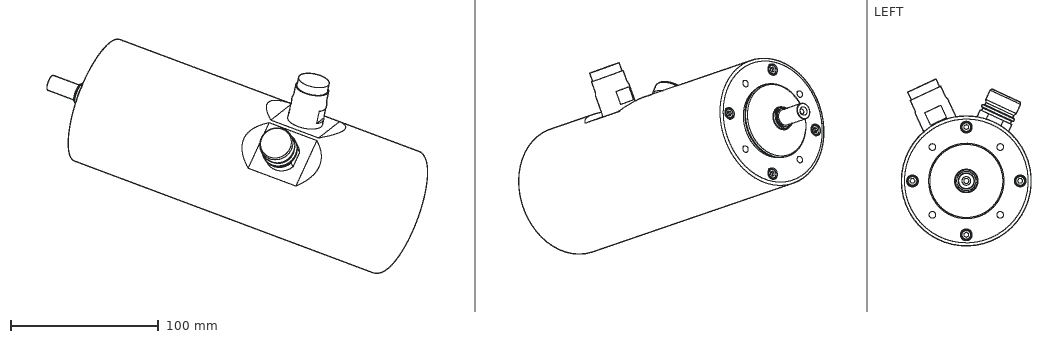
import cadquery as cq
import math

TOTAL_LENGTH = 266.0
HOUSING_RADIUS = 88.0 / 2
FRONT_FACE_X = 34.8
FRONT_CHAMFER_LENGTH = 0.8
FRONT_CHAMFER_DEPTH = 2.0
REAR_RIM_X = 265.2
REAR_FILLET = 3.5

FLANGE_RADIUS = 49.7 / 2
FLANGE_RIM_RADIUS = 51.0 / 2
FLANGE_RIM_BACK_X = 32.2
FLANGE_RIM_FRONT_X = 31.5
FLANGE_SHOULDER_RADIUS = 49.5 / 2
FLANGE_SHOULDER_X = 30.3
FLANGE_FACE_RADIUS = 47.3 / 2
FLANGE_FACE_X = 29.8

FLARE_DIAMETER = 21.5
FLARE_END_X = 27.7
FLARE_ROUND = 3.2

SHAFT_DIAMETER = 11.0
SHAFT_LENGTH = 21.0
SHAFT_STEPS = [(13.0, 22.0), (15.0, 24.0), (16.0, 25.0)]
SHAFT_EDGE_CHAMFER = 0.3

CENTRE_HOLE_DIAMETER = 3.5
CENTRE_HOLE_DEPTH = 8.0
CENTRE_SINK_DIAMETER = 5.9
CENTRE_SINK_ANGLE = 60.0

DRILL_POINT_ANGLE = 118.0
MOUNT_HOLE_DIAMETER = 4.5
MOUNT_HOLE_DEPTH = 8.0
MOUNT_CIRCLE_RADIUS = 32.5
MOUNT_FIRST_ANGLE = 45.0
SCREW_CIRCLE_RADIUS = 36.5
SCREW_FIRST_ANGLE = 0.0
FACE_HOLE_COUNT = 4
SCREW_RECESS_DIAMETER = 8.0
SCREW_RECESS_DEPTH = 2.7
SCREW_HEAD_DIAMETER = 7.0
SCREW_HEAD_SETBACK = 0.3
SCREW_HEAD_CHAMFER = 0.5
SCREW_SOCKET_CORNERS = 3.5
SCREW_SOCKET_DEPTH = 2.0

SEAT_X = 184.5
SEAT_TILT = 25.0
SEAT_HEIGHT = 40.5
SEAT_LENGTH = 36.2
SEAT_END_SLOPE = 19.0
SEAT_CUT_HEIGHT = 8.0
SEAT_CUT_WIDTH = 53.2

CONNECTOR_FLAT_WIDTH = 21.0

TALL_PROFILE = [
    (24.2, SEAT_HEIGHT), (24.2, 55.5), (23.0, 57.7), (23.0, 65.5), (21.3, 65.5), (21.3, 71.3),
]
SHORT_PROFILE = [
    (23.7, SEAT_HEIGHT), (23.7, 47.5), (21.5, 47.5), (21.5, 49.5), (24.2, 50.0), (24.2, 51.5),
    (21.0, 52.1), (21.0, 53.7), (23.0, 55.5), (23.0, 62.5), (21.3, 63.8),
]
TALL_FLAT_SPAN = (44.5, 53.7)
SHORT_FLAT_SPAN = (SEAT_HEIGHT, 47.5)


def turned_body():
    """The shaft, flange and housing as one turned solid."""
    shaft_radius = SHAFT_DIAMETER / 2
    outline = (
        cq.Workplane("XY")
        .moveTo(0, 0)
        .lineTo(0, shaft_radius - SHAFT_EDGE_CHAMFER)
        .lineTo(SHAFT_EDGE_CHAMFER, shaft_radius)
    )
    step_start_x = SHAFT_LENGTH
    outline = outline.lineTo(step_start_x, shaft_radius)
    for diameter, step_end_x in SHAFT_STEPS:
        outline = outline.lineTo(step_start_x, diameter / 2)
        outline = outline.lineTo(step_end_x, diameter / 2)
        step_start_x = step_end_x
    outline = (
        outline
        .radiusArc((FLARE_END_X, FLARE_DIAMETER / 2), -FLARE_ROUND)
        .lineTo(FLANGE_FACE_X, FLANGE_FACE_RADIUS)
        .lineTo(FLANGE_SHOULDER_X, FLANGE_SHOULDER_RADIUS)
        .lineTo(FLANGE_RIM_FRONT_X, FLANGE_RIM_RADIUS)
        .lineTo(FLANGE_RIM_BACK_X, FLANGE_RIM_RADIUS)
        .lineTo(FLANGE_RIM_BACK_X, FLANGE_RADIUS)
        .lineTo(FRONT_FACE_X, FLANGE_RADIUS)
        .lineTo(FRONT_FACE_X, HOUSING_RADIUS - FRONT_CHAMFER_DEPTH)
        .lineTo(FRONT_FACE_X + FRONT_CHAMFER_LENGTH, HOUSING_RADIUS)
        .lineTo(REAR_RIM_X - REAR_FILLET, HOUSING_RADIUS)
        .radiusArc((REAR_RIM_X, HOUSING_RADIUS - REAR_FILLET), REAR_FILLET)
        .lineTo(TOTAL_LENGTH, 0)
        .close()
    )
    return outline.revolve(360, (0, 0, 0), (1, 0, 0))


def drill(start_x, diameter, depth):
    """A hole cutter along +X with a conical point."""
    radius = diameter / 2
    point = radius / math.tan(math.radians(DRILL_POINT_ANGLE / 2))
    cutter = (
        cq.Workplane("XY")
        .polyline([(0, 0), (0, radius), (depth, radius), (depth + point, 0)])
        .close()
        .revolve(360, (0, 0, 0), (1, 0, 0))
    )
    return cutter.translate((start_x, 0, 0))


def centre_hole():
    """The countersunk centre hole in the shaft end."""
    radius = CENTRE_SINK_DIAMETER / 2
    sink_depth = radius / math.tan(math.radians(CENTRE_SINK_ANGLE / 2))
    sink = (
        cq.Workplane("XY")
        .polyline([(0, 0), (0, radius), (sink_depth, 0)])
        .close()
        .revolve(360, (0, 0, 0), (1, 0, 0))
    )
    return sink.union(drill(0, CENTRE_HOLE_DIAMETER, CENTRE_HOLE_DEPTH))


def on_face_circle(cutter, radius, first_angle):
    """Copies of a cutter spaced evenly on a circle around the X axis."""
    moved = cutter.translate((0, radius, 0))
    angles = [first_angle + 360 / FACE_HOLE_COUNT * i for i in range(FACE_HOLE_COUNT)]
    return [moved.rotate((0, 0, 0), (1, 0, 0), angle) for angle in angles]


def x_cylinder(diameter, start_x, length):
    """A solid cylinder along +X."""
    return cq.Workplane("YZ", origin=(start_x, 0, 0)).circle(diameter / 2).extrude(length)


def screw_recess():
    """Cutter that leaves a hexagon socket screw head standing in a round recess."""
    recess = x_cylinder(SCREW_RECESS_DIAMETER, FRONT_FACE_X, SCREW_RECESS_DEPTH)
    head_x = FRONT_FACE_X + SCREW_HEAD_SETBACK
    head = x_cylinder(SCREW_HEAD_DIAMETER, head_x, SCREW_RECESS_DEPTH)
    head = head.faces("<X").chamfer(SCREW_HEAD_CHAMFER)
    socket = (
        cq.Workplane("YZ", origin=(head_x, 0, 0))
        .polygon(6, SCREW_SOCKET_CORNERS)
        .extrude(SCREW_SOCKET_DEPTH)
    )
    return recess.cut(head).union(socket)


def seat_cutter(tilt):
    """Cutter for a flat seat with sloping ends, leaned about the X axis."""
    half_bottom = SEAT_LENGTH / 2
    half_top = half_bottom + SEAT_CUT_HEIGHT / math.tan(math.radians(SEAT_END_SLOPE))
    top = SEAT_HEIGHT + SEAT_CUT_HEIGHT
    cutter = (
        cq.Workplane("XZ")
        .polyline([
            (SEAT_X - half_bottom, SEAT_HEIGHT),
            (SEAT_X + half_bottom, SEAT_HEIGHT),
            (SEAT_X + half_top, top),
            (SEAT_X - half_top, top),
        ])
        .close()
        .extrude(SEAT_CUT_WIDTH / 2, both=True)
    )
    return cutter.rotate((0, 0, 0), (1, 0, 0), tilt)


def make_housing():
    housing = turned_body().cut(centre_hole())
    mount_hole = drill(FRONT_FACE_X, MOUNT_HOLE_DIAMETER, MOUNT_HOLE_DEPTH)
    for cutter in on_face_circle(mount_hole, MOUNT_CIRCLE_RADIUS, MOUNT_FIRST_ANGLE):
        housing = housing.cut(cutter)
    for cutter in on_face_circle(screw_recess(), SCREW_CIRCLE_RADIUS, SCREW_FIRST_ANGLE):
        housing = housing.cut(cutter)
    for tilt in (-SEAT_TILT, SEAT_TILT):
        housing = housing.cut(seat_cutter(tilt))
    return housing


def make_connector(profile, flat_span, tilt):
    """A turned connector with two wrench flats facing -X and +X, standing on its seat."""
    outline = [(diameter / 2, height) for diameter, height in profile]
    base_radius = outline[0][0]
    top_height = outline[-1][1]
    connector = (
        cq.Workplane("XZ")
        .polyline([(0, SEAT_HEIGHT), *outline, (0, top_height)])
        .close()
        .revolve(360, (0, 0, 0), (0, 1, 0))
    )
    flat_bottom, flat_top = flat_span
    flat_height = flat_top - flat_bottom
    for side in (-1, 1):
        cutter = (
            cq.Workplane("XY")
            .box(base_radius, 2 * base_radius, flat_height, centered=(True, True, False))
            .translate((side * (CONNECTOR_FLAT_WIDTH + base_radius) / 2, 0, flat_bottom))
        )
        connector = connector.cut(cutter)
    return connector.translate((SEAT_X, 0, 0)).rotate((0, 0, 0), (1, 0, 0), tilt)


housing = make_housing()
tall_connector = make_connector(TALL_PROFILE, TALL_FLAT_SPAN, -SEAT_TILT)
short_connector = make_connector(SHORT_PROFILE, SHORT_FLAT_SPAN, SEAT_TILT)

result = cq.Compound.makeCompound([housing.val(), tall_connector.val(), short_connector.val()])